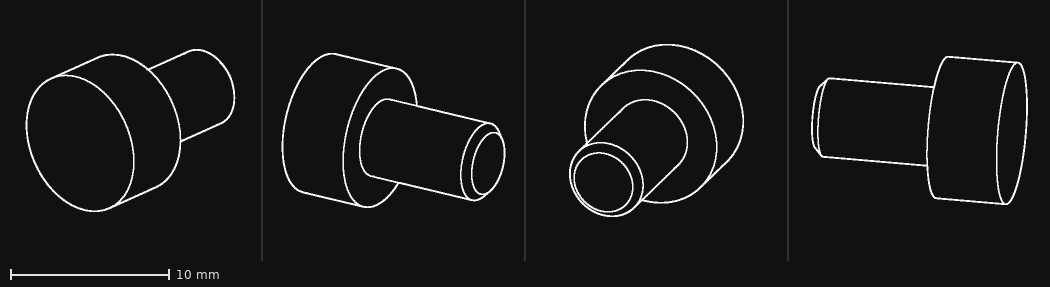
import cadquery as cq

total_length = 12.5
head_diameter = 9.0
head_length = 4.5
shank_diameter = 5.0
tip_chamfer = 0.5

shank_length = total_length - head_length


def cylinder_along_y(diameter, start, length):
    """Solid cylinder on the Y axis, from y = start towards +Y."""
    return cq.Workplane("XZ", origin=(0, start, 0)).circle(diameter / 2).extrude(-length)


head = cylinder_along_y(head_diameter, 0, head_length)

shank = cylinder_along_y(shank_diameter, head_length, shank_length)
shank = shank.faces(">Y").chamfer(tip_chamfer)

result = head.union(shank)